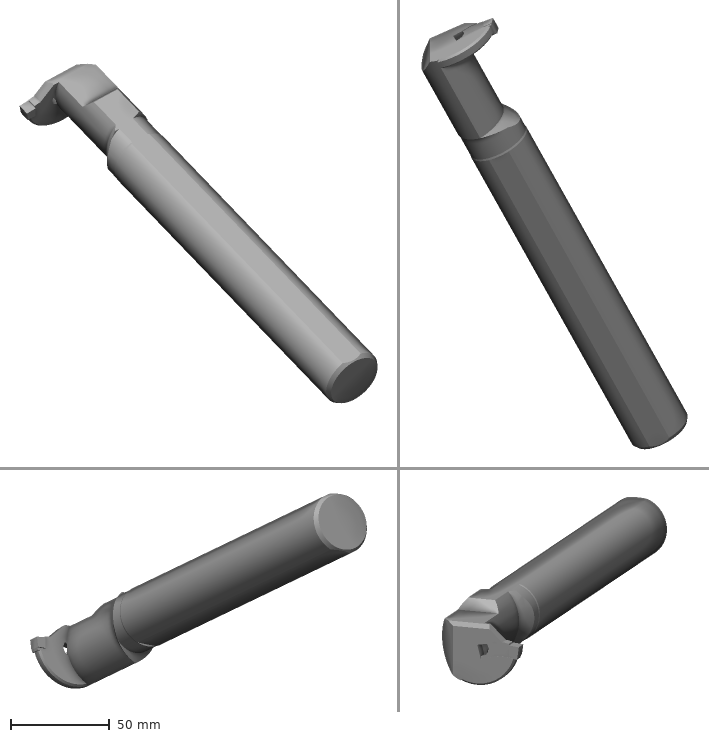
import cadquery as cq

length = 250.0
shank_radius = 16.0
flat_height = 15.0
shank_start = 65.0
end_chamfer_length = 2.2
end_chamfer_depth = 1.5

neck_radius = 15.8
neck_step_length = 1.0

head_radius = 22.0
outer_center_y = shank_radius - head_radius
relief_side_y = -10.5
inner_center_y = relief_side_y + head_radius
head_end = 49.5
inner_taper_length = 10.0
inner_taper_rise = 6.5
outer_taper_length = 6.0
outer_taper_end_radius = 9.5

step_height = 9.5
step_foot = 26.0
step_top = 30.8
nose_bevel_length = 4.0
nose_bevel_drop = 1.5
side_bevel_length = 9.0
side_bevel_depth = 9.2

blade_thickness = 5.5
blade_chamfer = 1.0
blade_slope_top_y = -11.5
blade_slope_bottom = (-20.2, 1.5)
blade_ledge_z = -2.5

tip_width = 6.5
tip_y = -29.0
tip_start_y = -23.8
tip_start_z = 0.5
tip_lead = 0.2
tip_back = (-23.5, 1.2)
tip_bottom = (-27.8, -6.8)
tip_facet = (-28.2, -5.2)
top_back = (-11.5, 0.2)
top_crest = (-15.8, 1.8)
top_front = (-20.8, 1.8)
bottom_front = (-23.0, -5.8)
bottom_middle = (-16.2, -5.8)
heel = (-8.5, -8.2)
pocket_top = (-6.5, -0.8)
heel_relief_mid = (-12.2, -3.5)
heel_relief_end = (-8.2, -6.8)

margin = 50.0


def x_cylinder(radius, center_y, start, end):
    """Cylinder along X between two stations."""
    return cq.Workplane("YZ", origin=(start, center_y, 0)).circle(radius).extrude(end - start)


def x_cone(center_y, start, start_radius, end, end_radius):
    """Truncated cone along X between two stations."""
    cone = cq.Solid.makeCone(
        start_radius, end_radius, end - start, cq.Vector(start, center_y, 0), cq.Vector(1, 0, 0)
    )
    return cq.Workplane(cone)


def make_shank():
    """Round shank with two flats and a chamfered far end."""
    chamfer_start = length - end_chamfer_length
    shank = x_cylinder(shank_radius, 0, shank_start, chamfer_start)
    shank = shank.union(
        x_cone(0, chamfer_start, shank_radius, length, shank_radius - end_chamfer_depth)
    )
    flats = cq.Workplane("XY").box(2 * length, margin, 2 * flat_height)
    return shank.intersect(flats)


def make_neck_and_head():
    """Head of two crossing circles that tapers into the round neck."""
    outer = x_cylinder(head_radius, outer_center_y, 0, head_end)
    outer = outer.union(
        x_cone(
            outer_center_y, head_end, head_radius,
            head_end + outer_taper_length, outer_taper_end_radius,
        )
    )
    step_start = shank_start - neck_step_length
    neck = x_cylinder(neck_radius, 0, head_end, step_start)
    neck = neck.union(x_cone(0, step_start, neck_radius, shank_start, shank_radius))

    taper_end = head_end + inner_taper_length
    taper_radius = head_radius + inner_taper_rise
    inner = x_cylinder(head_radius, inner_center_y, 0, head_end)
    inner = inner.union(x_cone(inner_center_y, head_end, head_radius, taper_end, taper_radius))
    inner = inner.union(x_cylinder(taper_radius, inner_center_y, taper_end, shank_start))
    return outer.union(neck).intersect(inner)


def make_blade():
    """Thin disc with chamfered rims, cut by a slope on its upper cutting side."""
    disc = x_cylinder(head_radius, outer_center_y, 0, blade_thickness).edges().chamfer(blade_chamfer)
    slope_y, slope_z = blade_slope_bottom
    outline = (
        cq.Workplane("YZ")
        .moveTo(margin, -margin)
        .lineTo(margin, step_height)
        .lineTo(blade_slope_top_y, step_height)
        .lineTo(slope_y, slope_z)
        .lineTo(slope_y, blade_ledge_z)
        .lineTo(-margin, blade_ledge_z)
        .lineTo(-margin, -margin)
        .close()
        .extrude(blade_thickness)
    )
    return disc.intersect(outline)


def top_limit():
    """Space above the stepped and bevelled top of the tool."""
    return (
        cq.Workplane("XZ", origin=(0, margin, 0))
        .moveTo(0, step_height - nose_bevel_drop)
        .lineTo(nose_bevel_length, step_height)
        .lineTo(step_foot, step_height)
        .lineTo(step_top, flat_height)
        .lineTo(shank_start, flat_height)
        .lineTo(shank_start, margin)
        .lineTo(0, margin)
        .close()
        .extrude(2 * margin)
    )


def side_bevel():
    """Wedge removed from the front corner on the side away from the insert."""
    return (
        cq.Workplane("XY", origin=(0, 0, -margin))
        .moveTo(0, shank_radius - side_bevel_depth)
        .lineTo(side_bevel_length, shank_radius)
        .lineTo(side_bevel_length, margin)
        .lineTo(0, margin)
        .close()
        .extrude(2 * margin)
    )


def insert_seat_outline(start):
    """Add the top and bottom edges of the insert, from its upper back end to its heel."""
    return (
        start
        .lineTo(*top_crest)
        .lineTo(*top_front)
        .lineTo(*tip_back)
        .lineTo(tip_start_y, tip_start_z)
        .lineTo(tip_y, 0)
        .lineTo(*tip_facet)
        .lineTo(*tip_bottom)
        .lineTo(*bottom_front)
        .lineTo(*bottom_middle)
        .lineTo(*heel)
    )


def make_pocket():
    """Blind pocket that holds the insert and leaves a small gap behind its heel."""
    outline = insert_seat_outline(cq.Workplane("YZ").moveTo(*top_back))
    return outline.lineTo(*pocket_top).close().extrude(blade_thickness)


def make_insert():
    """Grooving insert with a hollow heel and a wider cutting tip."""
    outline = insert_seat_outline(cq.Workplane("YZ", origin=(tip_lead, 0, 0)).moveTo(*top_back))
    insert = (
        outline
        .lineTo(*heel_relief_end)
        .threePointArc(heel_relief_mid, top_back)
        .close()
        .extrude(blade_thickness - tip_lead)
    )
    tip = (
        cq.Workplane("YZ")
        .moveTo(tip_start_y, tip_start_z)
        .lineTo(tip_y, 0)
        .lineTo(*tip_facet)
        .lineTo(tip_start_y, tip_facet[1])
        .close()
        .extrude(tip_width)
    )
    return insert.union(tip)


def make_holder():
    """Complete tool holder with the insert pocket."""
    head = make_neck_and_head().union(make_blade()).cut(top_limit()).cut(side_bevel())
    return head.union(make_shank()).cut(make_pocket())


holder = make_holder()
insert = make_insert()

result = cq.Compound.makeCompound([holder.val(), insert.val()])